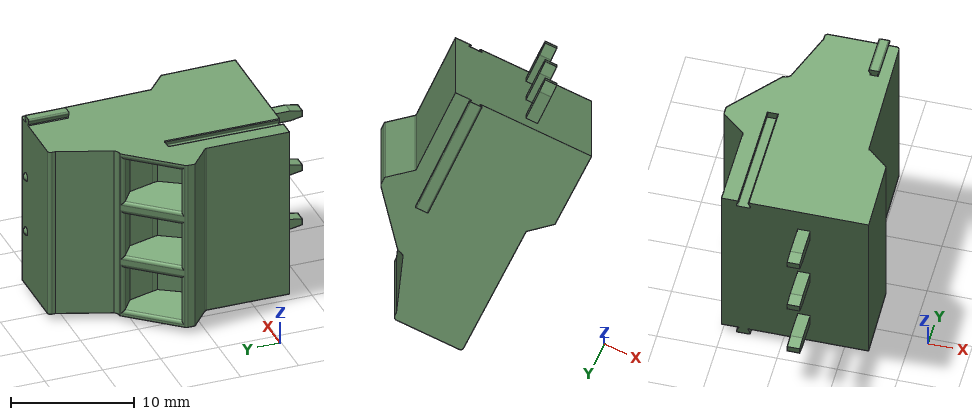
import cadquery as cq
import math


POLES = 3
PITCH = 5.08
BODY_HEIGHT = 15.2
BODY_TOP_Y = 19.35
MID_Z = BODY_HEIGHT / 2
POLE_Z = [MID_Z + (i - (POLES - 1) / 2) * PITCH for i in range(POLES)]
BASE_RIGHT_X = 14.25
BASE_LEFT_X = 2.0
SHOULDER_BOTTOM = (BASE_LEFT_X, 7.28)
NOSE_BOTTOM = (0.0, 8.95)
NOSE_TOP = (0.0, 9.68)
ENTRY_TOP = (3.67, 14.02)
STEP_ARC_POINT = (4.07, 14.11)
STEP_END = (4.27, 14.3)
HEAD_LEFT_X = 5.87
HEAD_LEFT_Y = 18.75
HEAD_RIGHT_X = 12.05
WAIST = (12.3, 8.05)
HIP = (14.11, 6.47)
HEAD_RADIUS = 0.28
HIP_RADIUS = 0.18
NOSE_TOP_RADIUS = 0.32
NOSE_BOTTOM_RADIUS = 0.15
SHOULDER_RADIUS = 0.18

MOUTH_WIDTH = 4.1
MOUTH_END_GAP = 0.07
RIM_RADIUS = 0.3
SIDE_DRAFT = 13.8
UPPER_WALL_DEPTH = 1.36
BACK_KNEE = (4.57, 10.88)
BACK_END = (4.57, 10.45)
FLOOR_TILT = 33.8

PIN_X = 8.87
PIN_WIDTH = 1.05
PIN_THICKNESS = 0.92
PIN_TIP_THICKNESS = 0.53
PIN_LENGTH = 3.53
PIN_TIP_LENGTH = 1.05

LONG_RAIL_X = 3.83
LONG_RAIL_LENGTH = 9.95
LONG_RAIL_NECK = 0.79
SHORT_RAIL_X = 10.79
SHORT_RAIL_LENGTH = 3.49
SHORT_RAIL_NECK = 0.53
RAIL_HEIGHT = 0.6
RAIL_OVERHANG = 0.25
RAIL_CORNER_RADIUS = 0.12
FOOT_FLARE = 0.07
FOOT_HEIGHT = 0.07

DOME_X = 10.95
DOME_HEIGHT = 0.2
DOME_RADIUS = 0.37


def make_body():
    body = (
        cq.Workplane("XY")
        .moveTo(BASE_LEFT_X, 0)
        .lineTo(BASE_RIGHT_X, 0)
        .lineTo(*HIP)
        .lineTo(*WAIST)
        .lineTo(HEAD_RIGHT_X, BODY_TOP_Y)
        .lineTo(HEAD_LEFT_X, BODY_TOP_Y)
        .lineTo(HEAD_LEFT_X, HEAD_LEFT_Y)
        .lineTo(*STEP_END)
        .threePointArc(STEP_ARC_POINT, ENTRY_TOP)
        .lineTo(*NOSE_TOP)
        .lineTo(*NOSE_BOTTOM)
        .lineTo(*SHOULDER_BOTTOM)
        .close()
        .extrude(BODY_HEIGHT)
    )
    rounded_corners = [
        ((HEAD_RIGHT_X, BODY_TOP_Y), HEAD_RADIUS),
        ((HEAD_LEFT_X, BODY_TOP_Y), HEAD_RADIUS),
        (HIP, HIP_RADIUS),
        (NOSE_TOP, NOSE_TOP_RADIUS),
        (NOSE_BOTTOM, NOSE_BOTTOM_RADIUS),
        (SHOULDER_BOTTOM, SHOULDER_RADIUS),
    ]
    for (x, y), radius in rounded_corners:
        corner = cq.selectors.NearestToPointSelector((x, y, MID_Z))
        body = body.edges(corner).fillet(radius)
    return body


def make_opening(pole_z):
    """Solid that fills one wire opening; its side walls close in with depth."""
    run_x = ENTRY_TOP[0] - NOSE_TOP[0]
    run_y = ENTRY_TOP[1] - NOSE_TOP[1]
    slope_length = math.hypot(run_x, run_y)
    up = (run_x / slope_length, run_y / slope_length)
    inward = (up[1], -up[0])

    def to_local(point):
        dx = point[0] - NOSE_TOP[0]
        dy = point[1] - NOSE_TOP[1]
        return (dx * up[0] + dy * up[1], dx * inward[0] + dy * inward[1])

    nose_turn = math.atan2(run_x, run_y)
    flat_start = NOSE_TOP_RADIUS * math.tan(nose_turn / 2)
    low = flat_start + MOUTH_END_GAP + RIM_RADIUS
    high = slope_length - MOUTH_END_GAP - RIM_RADIUS

    floor_start = to_local(BACK_END)
    tilt = math.radians(FLOOR_TILT)
    floor_dir = (-math.sin(tilt), -math.cos(tilt))
    floor_along = floor_dir[0] * up[0] + floor_dir[1] * up[1]
    floor_inward = floor_dir[0] * inward[0] + floor_dir[1] * inward[1]
    floor_end_depth = floor_start[1] + (low - floor_start[0]) * floor_inward / floor_along

    entry_plane = cq.Plane(
        origin=(NOSE_TOP[0], NOSE_TOP[1], pole_z),
        xDir=(up[0], up[1], 0),
        normal=(0, 0, 1),
    )
    outline = [
        (low, 0),
        (low, floor_end_depth),
        floor_start,
        to_local(BACK_KNEE),
        (high, UPPER_WALL_DEPTH),
        (high, 0),
    ]
    profile = (
        cq.Workplane(entry_plane)
        .polyline([(along, -depth) for along, depth in outline])
        .close()
        .extrude(MOUTH_WIDTH / 2, both=True)
    )
    deepest = max(depth for _, depth in outline)
    taper = deepest * math.tan(math.radians(SIDE_DRAFT))
    wide = MOUTH_WIDTH / 2
    narrow = wide - taper
    side_plane = cq.Plane(
        origin=(NOSE_TOP[0], NOSE_TOP[1], pole_z),
        xDir=(inward[0], inward[1], 0),
        normal=(up[0], up[1], 0),
    )
    wedge = (
        cq.Workplane(side_plane)
        .polyline([(0, -wide), (deepest, -narrow), (deepest, narrow), (0, wide)])
        .close()
        .extrude(slope_length)
    )
    return profile.intersect(wedge)


def round_rims(body):
    """Round the mouth edges of all openings where they meet the entry face."""
    mid_x = (NOSE_TOP[0] + ENTRY_TOP[0]) / 2
    mid_y = (NOSE_TOP[1] + ENTRY_TOP[1]) / 2
    entry_face = body.faces(cq.selectors.NearestToPointSelector((mid_x, mid_y, MID_Z)))
    rim_edges = [edge for wire in entry_face.val().innerWires() for edge in wire.Edges()]
    return body.newObject(rim_edges).fillet(RIM_RADIUS)


def make_rail(x, y_start, length, neck, base_z, direction):
    """Dovetail bar along +Y that widens away from base_z; direction is +1 or -1 in Z."""
    half_neck = neck / 2
    half_foot = half_neck + FOOT_FLARE
    half_end = half_neck + RAIL_OVERHANG
    outline = [
        (-half_foot, 0),
        (half_foot, 0),
        (half_neck, FOOT_HEIGHT),
        (half_end, RAIL_HEIGHT),
        (-half_end, RAIL_HEIGHT),
        (-half_neck, FOOT_HEIGHT),
    ]
    rail = (
        cq.Workplane("XZ", origin=(x, y_start, base_z))
        .polyline([(across, direction * height) for across, height in outline])
        .close()
        .extrude(-length)
    )
    free_end = ">Z" if direction > 0 else "<Z"
    return rail.faces(free_end).edges("|Y").fillet(RAIL_CORNER_RADIUS)


def make_pin(pole_z):
    half = PIN_THICKNESS / 2
    half_tip = PIN_TIP_THICKNESS / 2
    tip_start = PIN_TIP_LENGTH - PIN_LENGTH
    return (
        cq.Workplane("YZ", origin=(PIN_X, 0, pole_z))
        .polyline([
            (0, -half),
            (tip_start, -half),
            (-PIN_LENGTH, -half_tip),
            (-PIN_LENGTH, half_tip),
            (tip_start, half),
            (0, half),
        ])
        .close()
        .extrude(PIN_WIDTH / 2, both=True)
    )


def make_dome(z):
    sphere_radius = (DOME_RADIUS**2 + DOME_HEIGHT**2) / (2 * DOME_HEIGHT)
    centre_y = BODY_TOP_Y + DOME_HEIGHT - sphere_radius
    return cq.Workplane("XY", origin=(DOME_X, centre_y, z)).sphere(sphere_radius)


result = make_body()
for z in POLE_Z:
    result = result.cut(make_opening(z))
result = round_rims(result)

for z in POLE_Z:
    result = result.union(make_pin(z))
for z in POLE_Z[:-1]:
    result = result.union(make_dome(z + PITCH / 2))

long_rail = (LONG_RAIL_X, 0, LONG_RAIL_LENGTH, LONG_RAIL_NECK)
short_rail = (SHORT_RAIL_X, BODY_TOP_Y - SHORT_RAIL_LENGTH, SHORT_RAIL_LENGTH, SHORT_RAIL_NECK)
result = result.cut(make_rail(*long_rail, BODY_HEIGHT, -1))
result = result.union(make_rail(*long_rail, 0, -1))
result = result.union(make_rail(*short_rail, BODY_HEIGHT, 1))